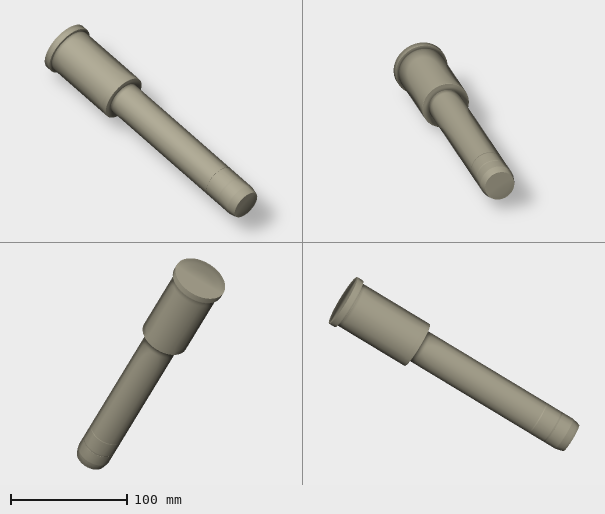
import cadquery as cq

total_length = 231.0
head_diameter = 47.0
head_thickness = 6.0
sleeve_diameter = 42.0
sleeve_end = 75.0
shank_diameter = 30.0

head_chamfer_length = 0.7
head_chamfer_drop = 0.12
sleeve_chamfer = 0.2

relief_depth = 0.35
relief_end = 7.5

lead_length = 5.0
lead_drop = 0.05

neck_length = 0.7
neck_rise = 0.12

groove_depth = 0.2
first_groove_start = 196.4
first_groove_width = 1.0
second_groove_start = 211.4
second_groove_width = 1.5

tip_length = 7.5
tip_drop = 1.8
tip_bulge = 0.2

head_radius = head_diameter / 2
sleeve_radius = sleeve_diameter / 2
lead_radius = sleeve_radius - lead_drop
shank_radius = shank_diameter / 2
groove_radius = shank_radius - groove_depth
tip_radius = shank_radius - tip_drop
tip_start = total_length - tip_length
tip_middle = (total_length - tip_length / 2, shank_radius - tip_drop / 2 + tip_bulge)

half_outline = [
    (0, 0),
    (0, head_radius),
    (head_thickness - head_chamfer_length, head_radius),
    (head_thickness, head_radius - head_chamfer_drop),
    (head_thickness, sleeve_radius - relief_depth),
    (relief_end, sleeve_radius),
    (sleeve_end - lead_length, sleeve_radius),
    (sleeve_end - sleeve_chamfer, lead_radius),
    (sleeve_end, lead_radius - sleeve_chamfer),
    (sleeve_end, shank_radius + neck_rise),
    (sleeve_end + neck_length, shank_radius),
    (first_groove_start, shank_radius),
    (first_groove_start, groove_radius),
    (first_groove_start + first_groove_width, shank_radius),
    (second_groove_start, shank_radius),
    (second_groove_start + second_groove_width, groove_radius),
    (second_groove_start + second_groove_width, shank_radius),
    (tip_start, shank_radius),
]

result = (
    cq.Workplane("XY")
    .polyline(half_outline)
    .threePointArc(tip_middle, (total_length, tip_radius))
    .lineTo(total_length, 0)
    .close()
    .revolve(360, (0, 0, 0), (1, 0, 0))
)